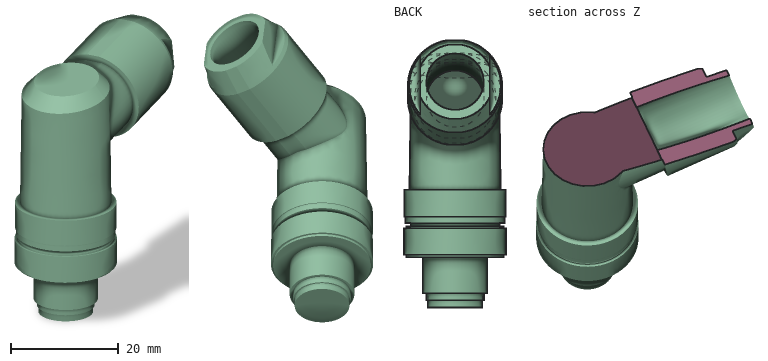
import cadquery as cq
import math


TIP_DIA = 10.2
COLLAR_DIA = 10.8
BARREL_DIA = 12.0
NUT_DIA = 19.0
NUT_LIP_DIA = 18.2
SPACER_DIA = 16.55
FLANGE_DIA = 18.85
FLANGE_STEP_DIA = 18.55

COLLAR_BASE_Z = 1.35
BARREL_BASE_Z = 2.65
NUT_BASE_Z = 9.35
NUT_HEIGHT = 5.7
NUT_LOWER_LIP = 0.45
NUT_UPPER_LIP = 0.35
SPACER_HEIGHT = 0.65
FLANGE_STEP_HEIGHT = 1.2
FLANGE_HEIGHT = 6.2

NUT_TOP_Z = NUT_BASE_Z + NUT_HEIGHT
FLANGE_BASE_Z = NUT_TOP_Z + SPACER_HEIGHT
FLANGE_TOP_Z = FLANGE_BASE_Z + FLANGE_HEIGHT

POST_BASE_RADIUS = 8.5
POST_TOP_RADIUS = 8.1
POST_FULL_HEIGHT = 27.8
CAP_HEIGHT = 2.05
CAP_TOP_RADIUS = 6.05
CAP_TOP_Y = 0.35

ARM_TILT = 10.0
ARM_ORIGIN_Z = 36.6
NECK_RADIUS = 7.6
NECK_FLAT_OFFSET = 7.4
NECK_LENGTH = 12.45

HEAD_RADIUS = 8.8
HEAD_FLAT_OFFSET = 8.7
HEAD_CYLINDER_LENGTH = 13.5
HEAD_CONE_LENGTH = 4.75
HEAD_END_RADIUS = 7.05
HEAD_BORE_DIA = 10.65
WRENCH_FLAT_WIDTH = 12.9
WRENCH_FLAT_LENGTH = 3.95

HEAD_LENGTH = HEAD_CYLINDER_LENGTH + HEAD_CONE_LENGTH
TILT_SIN = math.sin(math.radians(ARM_TILT))
TILT_COS = math.cos(math.radians(ARM_TILT))


def disc(diameter, bottom_z, top_z):
    """Upright cylinder on the Z axis."""
    return cq.Workplane("XY", origin=(0, 0, bottom_z)).circle(diameter / 2).extrude(top_z - bottom_z)


def arm_plane(distance):
    """Plane square to the arm, at a distance along it from the post axis."""
    origin = (0, distance * TILT_COS, ARM_ORIGIN_Z + distance * TILT_SIN)
    return cq.Plane(origin=origin, xDir=(1, 0, 0), normal=(0, TILT_COS, TILT_SIN))


def flattened_circle(distance, radius, flat_offset):
    """Circle on the arm with its top and bottom trimmed to flats."""
    half_flat = math.sqrt(radius**2 - flat_offset**2)
    return (
        cq.Workplane(arm_plane(distance))
        .moveTo(-half_flat, flat_offset)
        .lineTo(half_flat, flat_offset)
        .threePointArc((radius, 0), (half_flat, -flat_offset))
        .lineTo(-half_flat, -flat_offset)
        .threePointArc((-radius, 0), (-half_flat, flat_offset))
        .close()
    )


def make_barrel():
    """Plug barrel with a narrower tip that carries the collar."""
    tip = disc(TIP_DIA, 0, BARREL_BASE_Z)
    return tip.union(disc(BARREL_DIA, BARREL_BASE_Z, NUT_BASE_Z))


def make_collar():
    """Ring seated on the tip, against the barrel."""
    return disc(COLLAR_DIA, COLLAR_BASE_Z, BARREL_BASE_Z).cut(disc(TIP_DIA, COLLAR_BASE_Z, BARREL_BASE_Z))


def make_nut():
    """Coupling nut with a narrow lip at each end."""
    rim = disc(NUT_DIA, NUT_BASE_Z + NUT_LOWER_LIP, NUT_TOP_Z - NUT_UPPER_LIP)
    return rim.union(disc(NUT_LIP_DIA, NUT_BASE_Z, NUT_TOP_Z))


def make_spacer():
    """Narrow disc that leaves a groove between nut and flange."""
    return disc(SPACER_DIA, NUT_TOP_Z, FLANGE_BASE_Z)


def make_flange():
    """Flange ring with a shallow step round its lower end."""
    step_top_z = FLANGE_BASE_Z + FLANGE_STEP_HEIGHT
    step = disc(FLANGE_STEP_DIA, FLANGE_BASE_Z, step_top_z)
    return step.union(disc(FLANGE_DIA, step_top_z, FLANGE_TOP_Z))


def make_post():
    """Conical post cut off parallel to the arm, with a bevelled cap above the cut."""
    cut_origin = cq.Vector(0, 0, ARM_ORIGIN_Z + NECK_FLAT_OFFSET / TILT_COS)
    cut_normal = cq.Vector(0, -TILT_SIN, TILT_COS)
    cut_plane = cq.Plane(origin=cut_origin, xDir=(1, 0, 0), normal=cut_normal)
    above_cut = cq.Workplane(cut_plane).circle(2 * POST_BASE_RADIUS).extrude(POST_FULL_HEIGHT)
    cone = cq.Solid.makeCone(
        POST_BASE_RADIUS, POST_TOP_RADIUS, POST_FULL_HEIGHT, cq.Vector(0, 0, FLANGE_TOP_Z)
    )
    post = cq.Workplane(cone).cut(above_cut)

    cap_base = post.faces(">Z").val().outerWire()
    cap_top_z = cut_origin.z + CAP_HEIGHT / TILT_COS + CAP_TOP_Y * TILT_SIN / TILT_COS
    cap_top = cq.Wire.makeCircle(CAP_TOP_RADIUS, cq.Vector(0, CAP_TOP_Y, cap_top_z), cut_normal)
    cap = cq.Solid.makeLoft([cap_base, cap_top], True)
    return post.union(cq.Workplane(cap))


def make_elbow():
    """Post and neck in one piece."""
    neck = flattened_circle(0, NECK_RADIUS, NECK_FLAT_OFFSET).extrude(NECK_LENGTH)
    return make_post().union(neck)


def make_head():
    """Clamping head: cylinder, tapered end, two wrench flats and a through bore."""
    cone_start = NECK_LENGTH + HEAD_CYLINDER_LENGTH
    head_end = NECK_LENGTH + HEAD_LENGTH
    taper_angle = math.degrees(math.atan((HEAD_RADIUS - HEAD_END_RADIUS) / HEAD_CONE_LENGTH))

    cylinder = flattened_circle(NECK_LENGTH, HEAD_RADIUS, HEAD_FLAT_OFFSET).extrude(HEAD_CYLINDER_LENGTH)
    cone = flattened_circle(cone_start, HEAD_RADIUS, HEAD_FLAT_OFFSET).extrude(
        HEAD_CONE_LENGTH, taper=taper_angle
    )
    head = cylinder.union(cone)

    cutter_width = HEAD_RADIUS
    cutter_x = (WRENCH_FLAT_WIDTH + cutter_width) / 2
    beside_flats = (
        cq.Workplane(arm_plane(head_end - WRENCH_FLAT_LENGTH))
        .pushPoints([(-cutter_x, 0), (cutter_x, 0)])
        .rect(cutter_width, 2 * HEAD_RADIUS)
        .extrude(WRENCH_FLAT_LENGTH)
    )
    bore = cq.Workplane(arm_plane(NECK_LENGTH)).circle(HEAD_BORE_DIA / 2).extrude(HEAD_LENGTH)
    return head.cut(beside_flats).cut(bore)


barrel = make_barrel()
collar = make_collar()
nut = make_nut()
spacer = make_spacer()
flange = make_flange()
elbow = make_elbow()
head = make_head()

result = cq.Compound.makeCompound(
    [
        barrel.val(),
        collar.val(),
        nut.val(),
        spacer.val(),
        flange.val(),
        elbow.val(),
        head.val(),
    ]
)